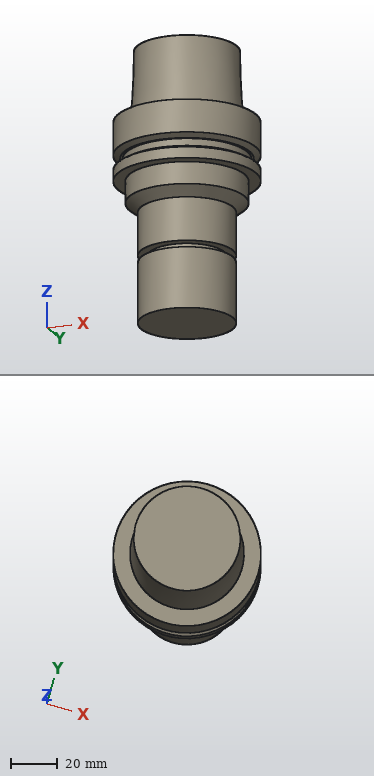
import cadquery as cq
import math

flange_diameter = 63.0
groove_diameter = 55.0
groove_mouth_diameter = 57.1
collar_diameter = 52.6
body_diameter = 42.0
neck_diameter = 33.5
shank_base_diameter = 48.5
shank_top_diameter = 45.4
nut_diameter = body_diameter

nut_height = 27.3
neck_height = 2.9
body_height = 19.5
cone_height = 4.1
collar_height = 9.9
lower_rim_height = 4.9
flank_height = 1.6
groove_height = 3.5
upper_rim_height = 14.8
total_height = 122.0

neck_top = nut_height + neck_height
body_top = neck_top + body_height
cone_top = body_top + cone_height
flange_bottom = cone_top + collar_height
lower_rim_top = flange_bottom + lower_rim_height
groove_bottom = lower_rim_top + flank_height
groove_top = groove_bottom + groove_height
upper_rim_bottom = groove_top + flank_height
flange_top = upper_rim_bottom + upper_rim_height


def revolve_profile(profile):
    """Turn a closed half profile, drawn as (radius, height), about the Z axis."""
    return profile.close().revolve(360, (0, 0, 0), (0, 1, 0))


def make_nut():
    """Plain round nut at the bottom."""
    return cq.Workplane("XY").circle(nut_diameter / 2).extrude(nut_height)


def make_holder_base():
    """Neck, body, cone and collar below the flange."""
    return revolve_profile(
        cq.Workplane("XZ")
        .moveTo(0, nut_height)
        .lineTo(neck_diameter / 2, nut_height)
        .lineTo(neck_diameter / 2, neck_top)
        .lineTo(body_diameter / 2, neck_top)
        .lineTo(body_diameter / 2, body_top)
        .lineTo(collar_diameter / 2, cone_top)
        .lineTo(collar_diameter / 2, flange_bottom)
        .lineTo(0, flange_bottom)
    )


def make_flange():
    """Flange with a gripper groove between two sloping flanks."""
    return revolve_profile(
        cq.Workplane("XZ")
        .moveTo(0, flange_bottom)
        .lineTo(flange_diameter / 2, flange_bottom)
        .lineTo(flange_diameter / 2, lower_rim_top)
        .lineTo(groove_mouth_diameter / 2, groove_bottom)
        .lineTo(groove_diameter / 2, groove_bottom)
        .lineTo(groove_diameter / 2, groove_top)
        .lineTo(groove_mouth_diameter / 2, groove_top)
        .lineTo(flange_diameter / 2, upper_rim_bottom)
        .lineTo(flange_diameter / 2, flange_top)
        .lineTo(0, flange_top)
    )


def make_shank():
    """Shank whose side curves inward and ends upright at its top edge."""
    shank_height = total_height - flange_top
    flare = (shank_base_diameter - shank_top_diameter) / 2
    arc_radius = (shank_height**2 + flare**2) / (2 * flare)
    half_height = shank_height / 2
    middle_level = flange_top + half_height
    middle_radius = shank_top_diameter / 2 + arc_radius - math.sqrt(arc_radius**2 - half_height**2)
    return revolve_profile(
        cq.Workplane("XZ")
        .moveTo(0, flange_top)
        .lineTo(0, total_height)
        .lineTo(shank_top_diameter / 2, total_height)
        .threePointArc((middle_radius, middle_level), (shank_base_diameter / 2, flange_top))
    )


def make_holder():
    """One solid holder: base, flange and shank."""
    return make_holder_base().union(make_flange()).union(make_shank())


nut = make_nut()
holder = make_holder()

result = cq.Compound.makeCompound([nut.val(), holder.val()])